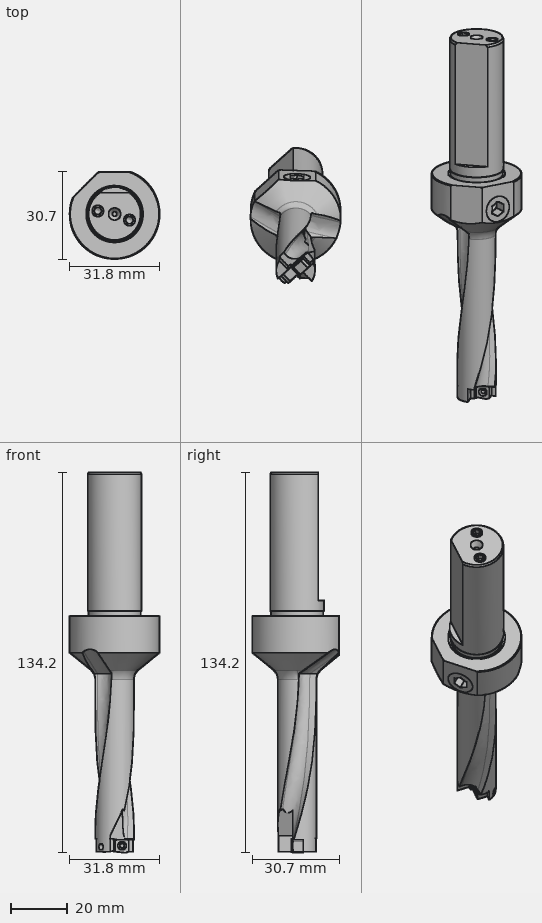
import cadquery as cq
import math

TOTAL_LENGTH = 134.2

SHANK_RADIUS = 9.5
SHANK_CHAMFER_RADIAL = 0.4
SHANK_CHAMFER_HEIGHT = 0.8
SHANK_FLAT_Y = 7.5
SHANK_FLAT_BOTTOM_Z = 89.0

NECK_RADIUS = 9.3
NECK_TOP_Z = 85.0
NECK_RELIEF_WIDTH = 0.8
NECK_RELIEF_DEPTH = 0.4

COLLAR_DIAMETER = 31.8
COLLAR_RADIUS = COLLAR_DIAMETER / 2
COLLAR_WIDTH_Y = 30.7
COLLAR_TOP_Z = 83.6
COLLAR_BOTTOM_Z = 70.5
COLLAR_CHAMFER = 0.3
COLLAR_BACK_FLAT_Y = COLLAR_WIDTH_Y - COLLAR_RADIUS
COLLAR_SIDE_FLAT_DISTANCE = 14.5
COLLAR_SIDE_FLAT_ANGLE = 135.0
BACK_ANGLE = 90.0

DRILL_RADIUS = 6.8
DRILL_TIP_Z = 0.4
CONE_TOE_Z = 63.2
CONE_FILLET_RADIUS = 4.0

SIDES = (0, 1)
HALF_TURN = 180.0

FLUTE_ANGLE = 231.4
FLUTE_CORNER_RADIUS = 4.3
FLUTE_CORNER_DISTANCE = 1.2
FLUTE_SIDE_OFFSET = -1.3
FLUTE_DEPTH = 6.7
FLUTE_TOP_Z = CONE_TOE_Z
FLUTE_BOTTOM_Z = 5.1
FLUTE_TWIST = -90.0
FLUTE_TWIST_EXPONENT = 1.7
FLUTE_SECTIONS = 9
RUNOUT_ANGLE = 246.0
RUNOUT_RISE = 10.7
RUNOUT_REACH = 16.6

RAKE_OFFSET = 1.5
POCKET_WALL_OFFSET = 1.6
POCKET_TOP_Z = 5.2
GULLET_WALL_TOP_Z = 6.0
GULLET_PEAK_X = 3.0
GULLET_PEAK_Z = 15.4
GULLET_RIM_Z = 11.1
INSERT_WIDTH = 4.7
INSERT_HEIGHT = 4.3
INSERT_THICKNESS = 3.6
INSERT_NOSE_OFFSET = 3.6
INSERT_NOSE_DROP = 0.4
INSERT_CORNER_RADIUS = 0.5
INSERT_HOLE_DIAMETER = 1.6
INSERT_SINK_DIAMETER = 3.0
INSERT_SINK_ANGLE = 90.0
INSERT_INNER_EDGE_X = 0.3
OUTER_INSERT_LIFT = 0.3

COOLANT_RADIUS = 1.1
COOLANT_ANGLE = 225.0
COOLANT_Z = 2.1
COOLANT_DEPTH = 2.7

CENTRE_SINK_RADIUS = 2.1
CENTRE_SINK_DEPTH = 2.1
CENTRE_HOLE_RADIUS = 0.8
CENTRE_HOLE_DEPTH = 4.0

COLLAR_PLUG_RADIUS = 4.7
COLLAR_PLUG_LENGTH = 6.7
COLLAR_PLUG_SOCKET = 4.7
COLLAR_PLUG_SOCKET_DEPTH = 4.7
COLLAR_PLUG_Z = 74.5
SOCKET_POINT_SLOPE = 0.6
END_PLUG_RADIUS = 2.0
END_PLUG_LENGTH = 4.0
END_PLUG_SOCKET = 2.5
END_PLUG_SOCKET_DEPTH = 2.0
END_PLUG_POSITIONS = [(-5.9, 1.1), (5.2, -2.1)]


def polar(radius, angle):
    """Point at a radius and an angle in degrees."""
    return radius * math.cos(math.radians(angle)), radius * math.sin(math.radians(angle))


def turned_blank():
    profile = (
        cq.Workplane("XZ")
        .moveTo(0, DRILL_TIP_Z)
        .lineTo(DRILL_RADIUS, DRILL_TIP_Z)
        .lineTo(DRILL_RADIUS, CONE_TOE_Z)
        .lineTo(COLLAR_RADIUS, COLLAR_BOTTOM_Z)
        .lineTo(COLLAR_RADIUS, COLLAR_TOP_Z - COLLAR_CHAMFER)
        .lineTo(COLLAR_RADIUS - COLLAR_CHAMFER, COLLAR_TOP_Z)
        .lineTo(NECK_RADIUS + NECK_RELIEF_WIDTH, COLLAR_TOP_Z)
        .lineTo(NECK_RADIUS + NECK_RELIEF_WIDTH, COLLAR_TOP_Z - NECK_RELIEF_DEPTH)
        .lineTo(NECK_RADIUS, COLLAR_TOP_Z - NECK_RELIEF_DEPTH)
        .lineTo(NECK_RADIUS, NECK_TOP_Z)
        .lineTo(SHANK_RADIUS, NECK_TOP_Z + SHANK_RADIUS - NECK_RADIUS)
        .lineTo(SHANK_RADIUS, TOTAL_LENGTH - SHANK_CHAMFER_HEIGHT)
        .lineTo(SHANK_RADIUS - SHANK_CHAMFER_RADIAL, TOTAL_LENGTH)
        .lineTo(0, TOTAL_LENGTH)
        .close()
    )
    blank = profile.revolve(360, (0, 0, 0), (0, 1, 0))
    toe_edge = blank.edges(cq.selectors.NearestToPointSelector((-DRILL_RADIUS, 0, CONE_TOE_Z)))
    return toe_edge.fillet(CONE_FILLET_RADIUS)


def flat_cutter(distance, angle, bottom, top):
    """Block lying outside a flat that faces the given angle."""
    block = cq.Workplane("XY").box(COLLAR_DIAMETER, COLLAR_DIAMETER, top - bottom, centered=(False, True, False))
    return block.translate((distance, 0, bottom)).rotate((0, 0, 0), (0, 0, 1), angle)


def flute_section(z, angle):
    """Rounded 90-degree groove opening towards the given angle, as a closed wire at height z."""
    setback = FLUTE_CORNER_RADIUS / math.sqrt(2)
    round_bottom = FLUTE_CORNER_DISTANCE + FLUTE_CORNER_RADIUS * (math.sqrt(2) - 1)
    round_end = FLUTE_CORNER_DISTANCE + setback
    mouth = FLUTE_CORNER_DISTANCE + FLUTE_DEPTH
    section = (
        cq.Workplane("XY")
        .moveTo(mouth, -FLUTE_DEPTH)
        .lineTo(round_end, -setback)
        .threePointArc((round_bottom, 0), (round_end, setback))
        .lineTo(mouth, FLUTE_DEPTH)
        .close()
    )
    offset_section = section.val().translate(cq.Vector(0, FLUTE_SIDE_OFFSET, 0))
    return offset_section.rotate(cq.Vector(), cq.Vector(0, 0, 1), angle).moved(cq.Location((0, 0, z)))


def flute_cutters():
    """Twisted groove along the drill and its sloping runout across the cone."""
    wires = []
    for i in range(FLUTE_SECTIONS):
        fraction = i / (FLUTE_SECTIONS - 1)
        z = FLUTE_TOP_Z + fraction * (FLUTE_BOTTOM_Z - FLUTE_TOP_Z)
        wires.append(flute_section(z, FLUTE_ANGLE + FLUTE_TWIST * fraction**FLUTE_TWIST_EXPONENT))
    groove = cq.Workplane(cq.Solid.makeLoft(wires))
    out_x, out_y = polar(RUNOUT_REACH, RUNOUT_ANGLE)
    runout = cq.Solid.extrudeLinear(wires[0], [], cq.Vector(out_x, out_y, RUNOUT_RISE))
    return groove, cq.Workplane(runout)


def insert():
    """Insert facing -Y, with its inner lower corner at the origin."""
    outline = [
        (0, 0),
        (INSERT_NOSE_OFFSET, -INSERT_NOSE_DROP),
        (INSERT_WIDTH, 0),
        (INSERT_WIDTH, INSERT_HEIGHT),
        (0, INSERT_HEIGHT),
    ]
    blank = cq.Workplane("XZ").polyline(outline).close().extrude(-INSERT_THICKNESS)
    return (
        blank.faces(">Z")
        .edges("|Y")
        .fillet(INSERT_CORNER_RADIUS)
        .faces("<Y")
        .workplane(origin=(INSERT_WIDTH / 2, 0, INSERT_HEIGHT / 2))
        .cskHole(INSERT_HOLE_DIAMETER, INSERT_SINK_DIAMETER, INSERT_SINK_ANGLE)
    )


def at_seat(shape, side):
    """Place an insert, or what belongs to it, on one of the two opposite sides of the tip."""
    seated = shape.translate((INSERT_INNER_EDGE_X, -RAKE_OFFSET, DRILL_TIP_Z + side * OUTER_INSERT_LIFT))
    return seated.rotate((0, 0, 0), (0, 0, 1), side * HALF_TURN)


def insert_notch():
    """Room for an insert, open to the drill's outer surface and to the tip."""
    height = INSERT_HEIGHT + INSERT_NOSE_DROP
    notch = cq.Workplane("XY").box(DRILL_RADIUS, INSERT_THICKNESS, height, centered=False)
    return notch.translate((0, 0, -INSERT_NOSE_DROP))


def chip_pocket(side):
    """Square clearance in front of a rake face."""
    width = POCKET_WALL_OFFSET + DRILL_RADIUS
    block = cq.Workplane("XY").box(width, DRILL_RADIUS, POCKET_TOP_Z, centered=False)
    placed = block.translate((-POCKET_WALL_OFFSET, -RAKE_OFFSET - DRILL_RADIUS, 0))
    return placed.rotate((0, 0, 0), (0, 0, 1), side * HALF_TURN)


def front_gullet():
    """Widening of the front chip pocket, with a slanted roof running up into the flute."""
    outline = [
        (-POCKET_WALL_OFFSET, POCKET_TOP_Z),
        (-POCKET_WALL_OFFSET, GULLET_WALL_TOP_Z),
        (GULLET_PEAK_X, GULLET_PEAK_Z),
        (DRILL_RADIUS, GULLET_RIM_Z),
        (DRILL_RADIUS, POCKET_TOP_Z),
    ]
    block = cq.Workplane("XZ").polyline(outline).close().extrude(DRILL_RADIUS)
    return block.translate((0, -RAKE_OFFSET, 0))


def plug_blank(radius, length):
    """Plain cylinder with its outer end at the origin, reaching down -Z."""
    return cq.Workplane("XY").circle(radius).extrude(-length)


def plug(radius, length, socket, socket_depth):
    across_corners = socket / math.cos(math.pi / 6)
    hexagon = cq.Workplane("XY").polygon(6, across_corners).extrude(-socket_depth)
    drill_point = cq.Solid.makeCone(
        socket / 2,
        0,
        socket / 2 * SOCKET_POINT_SLOPE,
        pnt=cq.Vector(0, 0, -socket_depth),
        dir=cq.Vector(0, 0, -1),
    )
    return plug_blank(radius, length).cut(hexagon).cut(cq.Workplane(drill_point))


def at_collar_flat(shape):
    """Turn a plug so that its outer end lies in the collar's side flat."""
    outward = shape.rotate((0, 0, 0), (0, 1, 0), 90).translate((COLLAR_SIDE_FLAT_DISTANCE, 0, COLLAR_PLUG_Z))
    return outward.rotate((0, 0, 0), (0, 0, 1), COLLAR_SIDE_FLAT_ANGLE)


def at_shank_end(shape, position):
    return shape.translate((*position, TOTAL_LENGTH))


def centre_hole():
    top = cq.Workplane("XY").workplane(offset=TOTAL_LENGTH)
    sink = (
        top.circle(CENTRE_SINK_RADIUS)
        .workplane(offset=-CENTRE_SINK_DEPTH)
        .circle(CENTRE_HOLE_RADIUS)
        .loft()
    )
    return sink.union(top.circle(CENTRE_HOLE_RADIUS).extrude(-CENTRE_HOLE_DEPTH))


def coolant_outlet():
    """Radial blind hole opening on the drill surface."""
    hole = cq.Workplane("YZ").circle(COOLANT_RADIUS).extrude(COOLANT_DEPTH + COOLANT_RADIUS)
    placed = hole.translate((DRILL_RADIUS - COOLANT_DEPTH, 0, COOLANT_Z))
    return placed.rotate((0, 0, 0), (0, 0, 1), COOLANT_ANGLE)


def drill_body():
    body = turned_blank()
    body = body.cut(flat_cutter(SHANK_FLAT_Y, BACK_ANGLE, SHANK_FLAT_BOTTOM_Z, TOTAL_LENGTH))
    body = body.cut(flat_cutter(COLLAR_BACK_FLAT_Y, BACK_ANGLE, CONE_TOE_Z, COLLAR_TOP_Z))
    body = body.cut(
        flat_cutter(COLLAR_SIDE_FLAT_DISTANCE, COLLAR_SIDE_FLAT_ANGLE, CONE_TOE_Z, COLLAR_TOP_Z)
    )
    for side in SIDES:
        for cutter in flute_cutters():
            body = body.cut(cutter.rotate((0, 0, 0), (0, 0, 1), side * HALF_TURN))
        body = body.cut(chip_pocket(side))
        body = body.cut(at_seat(insert_notch(), side))
    body = body.cut(front_gullet())
    body = body.cut(at_collar_flat(plug_blank(COLLAR_PLUG_RADIUS, COLLAR_PLUG_LENGTH)))
    for position in END_PLUG_POSITIONS:
        body = body.cut(at_shank_end(plug_blank(END_PLUG_RADIUS, END_PLUG_LENGTH), position))
    return body.cut(centre_hole()).cut(coolant_outlet())


body = drill_body()
inserts = [at_seat(insert(), side) for side in SIDES]
collar_plug = at_collar_flat(
    plug(COLLAR_PLUG_RADIUS, COLLAR_PLUG_LENGTH, COLLAR_PLUG_SOCKET, COLLAR_PLUG_SOCKET_DEPTH)
)
end_plugs = []
for plug_position in END_PLUG_POSITIONS:
    end_plug = plug(END_PLUG_RADIUS, END_PLUG_LENGTH, END_PLUG_SOCKET, END_PLUG_SOCKET_DEPTH)
    end_plugs.append(at_shank_end(end_plug, plug_position))

result = cq.Compound.makeCompound(
    [
        *body.vals(),
        *[cutting_insert.val() for cutting_insert in inserts],
        collar_plug.val(),
        *[end_plug.val() for end_plug in end_plugs],
    ]
)